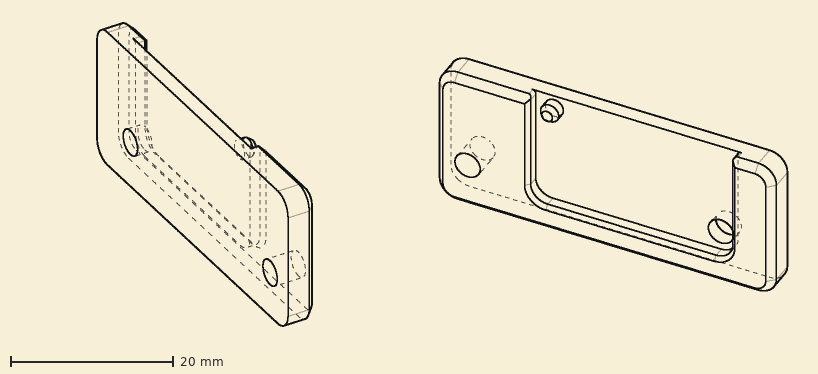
import cadquery as cq

length = 46.5
thickness = 4.0
height = 19.5
corner_radius = 2.5
plate_chamfer = 0.98
top_z = height / 2

hole_diameter = 3.5
hole_z = -3.3
left_hole_x = -15.1
right_hole_x = 18.87

floor_y = 2.05
pocket_corner_radius = 2.32
pocket_left = left_hole_x - pocket_corner_radius
pocket_right = 10.45
pocket_bottom = -6.0
mouth_radius = 0.45
rim_chamfer = 0.55

pin_diameter = 2.5
pin_x = 7.9
pin_z = 7.9
pin_chamfer_height = 0.7
pin_chamfer_inset = 0.5


def plane_at(y):
    """Sketch plane facing +Y; its local x runs along +X and its local y along -Z."""
    return cq.Workplane(cq.Plane(origin=(0, y, 0), xDir=(1, 0, 0), normal=(0, 1, 0)))


def make_plate():
    blank = plane_at(0).rect(length, height).extrude(thickness)
    return blank.edges("|Y").fillet(corner_radius).faces(">Y").chamfer(plate_chamfer)


def pocket_outline(y):
    """Rounded rectangle whose upper end lies beyond the top of the plate."""
    overrun = 2 * pocket_corner_radius
    width = pocket_right - pocket_left
    depth = top_z + overrun - pocket_bottom
    center_x = (pocket_left + pocket_right) / 2
    center_z = pocket_bottom + depth / 2
    outline = cq.Sketch().rect(width, depth).vertices().fillet(pocket_corner_radius)
    return plane_at(y).center(center_x, -center_z).placeSketch(outline)


def mouth_flare(wall_x, outward):
    """Cutter that rounds one pocket wall into the top of the plate."""
    corner_x = wall_x + outward * mouth_radius
    corner_z = top_z - mouth_radius
    block = (
        plane_at(floor_y)
        .center((wall_x + corner_x) / 2, -(top_z + corner_z) / 2)
        .rect(mouth_radius, mouth_radius)
        .extrude(thickness - floor_y)
    )
    rounding = plane_at(floor_y).center(corner_x, -corner_z).circle(mouth_radius).extrude(thickness - floor_y)
    return block.cut(rounding)


def make_pin():
    pin = plane_at(floor_y).center(pin_x, -pin_z).circle(pin_diameter / 2).extrude(thickness - floor_y)
    return pin.faces(">Y").chamfer(pin_chamfer_height, pin_chamfer_inset)


plate = make_plate()

plate = plate.cut(pocket_outline(floor_y).extrude(thickness - floor_y))
plate = plate.cut(pocket_outline(thickness - rim_chamfer).extrude(rim_chamfer, taper=-45))
for wall_x, outward in ((pocket_left, -1), (pocket_right, 1)):
    plate = plate.cut(mouth_flare(wall_x, outward))

plate = plate.union(make_pin())

for hole_x in (left_hole_x, right_hole_x):
    plate = plate.cut(plane_at(0).center(hole_x, -hole_z).circle(hole_diameter / 2).extrude(thickness))

result = plate